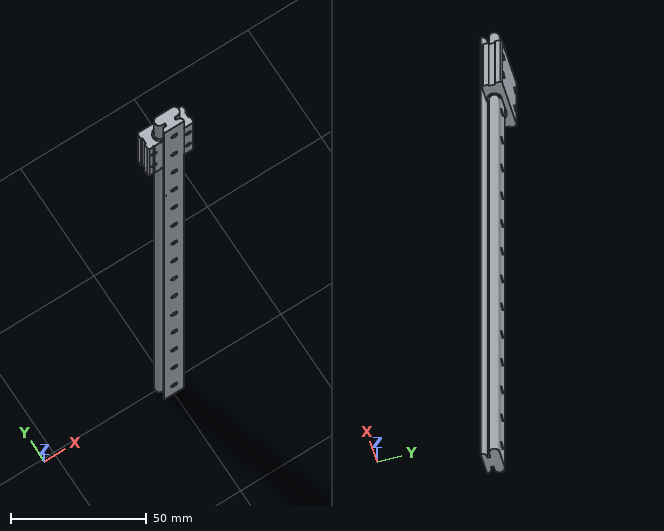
import cadquery as cq
import math

total_height = 10.0

rail_length = 300.0
rail_bottom = -total_height / 2
hole_count = 15
hole_pitch = rail_length / hole_count
rail_hole_diameter = 2.7

bead_radius = 1.98
bead_x = 3.3
bead_y = 0.15
rail_top = bead_y + bead_radius
neck_half_width = 2.0

foot_width = 8.7
foot_wall_height = 0.45
foot_radius = 1.65

carriage_width = 20.0
carriage_length = 30.0
carriage_center_z = 120.0
carriage_height = 7.8
carriage_top = total_height / 2
carriage_bottom = carriage_top - carriage_height
edge_chamfer = 0.5
side_groove_depth = 0.5
side_groove_width = 2.5
mark_groove_width = 0.3
mark_groove_depth = 0.3
mark_groove_from_side = 2.55
carriage_hole_diameter = 2.5
carriage_hole_spacing_x = 15.0
carriage_hole_spacing_z = 13.0

liner_thickness = 0.75
liner_radius = bead_radius + liner_thickness

carriage_center_y = (carriage_top + carriage_bottom) / 2
carriage_start_z = carriage_center_z - carriage_length / 2


def drill_along_y(body, points, diameter):
    """Cut holes through the body in the Y direction at the given (x, z) points."""
    drills = (
        cq.Workplane("XZ")
        .pushPoints(points)
        .circle(diameter / 2)
        .extrude(total_height, both=True)
    )
    return body.cut(drills)


def make_rail():
    """Rail with a round-edged flange, a narrow neck, a round-shouldered foot and mounting holes."""
    bead_bottom = bead_y - bead_radius
    foot_wall_top = rail_bottom + foot_wall_height
    foot_top = foot_wall_top + foot_radius
    foot_half_width = foot_width / 2
    shoulder_x = foot_half_width - foot_radius
    shoulder_offset = foot_radius * math.sqrt(0.5)
    half_profile = (
        cq.Workplane("XY", origin=(0, 0, -rail_length / 2))
        .moveTo(0, rail_top)
        .lineTo(bead_x, rail_top)
        .threePointArc((bead_x + bead_radius, bead_y), (bead_x, bead_bottom))
        .lineTo(neck_half_width, bead_bottom)
        .lineTo(neck_half_width, foot_top)
        .lineTo(shoulder_x, foot_top)
        .threePointArc(
            (shoulder_x + shoulder_offset, foot_wall_top + shoulder_offset),
            (foot_half_width, foot_wall_top),
        )
        .lineTo(foot_half_width, rail_bottom)
        .lineTo(0, rail_bottom)
    )
    body = half_profile.mirrorY().extrude(rail_length)
    first_hole_z = -rail_length / 2 + hole_pitch / 2
    holes = [(0, first_hole_z + i * hole_pitch) for i in range(hole_count)]
    return drill_along_y(body, holes, rail_hole_diameter)


def make_carriage():
    """Block that wraps the flange, with liner channels, grooves and four mounting holes."""
    body = (
        cq.Workplane("XY", origin=(0, carriage_center_y, carriage_start_z))
        .rect(carriage_width, carriage_height)
        .extrude(carriage_length)
        .edges("|Z")
        .chamfer(edge_chamfer)
    )
    opening_top = bead_y + liner_radius
    opening_height = opening_top - carriage_bottom
    opening = (
        cq.Workplane("XY", origin=(0, opening_top - opening_height / 2, carriage_start_z))
        .rect(2 * bead_x, opening_height)
        .extrude(carriage_length)
    )
    channels = (
        cq.Workplane("XY", origin=(0, bead_y, carriage_start_z))
        .pushPoints([(-bead_x, 0), (bead_x, 0)])
        .circle(liner_radius)
        .extrude(carriage_length)
    )
    side_grooves = (
        cq.Workplane("XY", origin=(0, carriage_center_y, carriage_start_z))
        .pushPoints([(-carriage_width / 2, 0), (carriage_width / 2, 0)])
        .rect(2 * side_groove_depth, side_groove_width)
        .extrude(carriage_length)
    )
    mark_groove_x = mark_groove_from_side - carriage_width / 2
    mark_groove = (
        cq.Workplane("XY", origin=(mark_groove_x, carriage_bottom, carriage_start_z))
        .rect(mark_groove_width, 2 * mark_groove_depth)
        .extrude(carriage_length)
    )
    body = body.cut(opening).cut(channels).cut(side_grooves).cut(mark_groove)
    holes = [
        (side_x * carriage_hole_spacing_x / 2, carriage_center_z + side_z * carriage_hole_spacing_z / 2)
        for side_x in (-1, 1)
        for side_z in (-1, 1)
    ]
    return drill_along_y(body, holes, carriage_hole_diameter)


def make_liner(side):
    """Half-round shell around one flange edge; side is -1 for the -X edge and 1 for the +X edge."""
    return (
        cq.Workplane("XY", origin=(side * bead_x, bead_y, carriage_start_z))
        .moveTo(0, liner_radius)
        .threePointArc((side * liner_radius, 0), (0, -liner_radius))
        .lineTo(0, -bead_radius)
        .threePointArc((side * bead_radius, 0), (0, bead_radius))
        .close()
        .extrude(carriage_length)
    )


rail = make_rail()
carriage = make_carriage()
liners = [make_liner(side) for side in (-1, 1)]

result = cq.Compound.makeCompound([rail.val(), carriage.val(), *[liner.val() for liner in liners]])